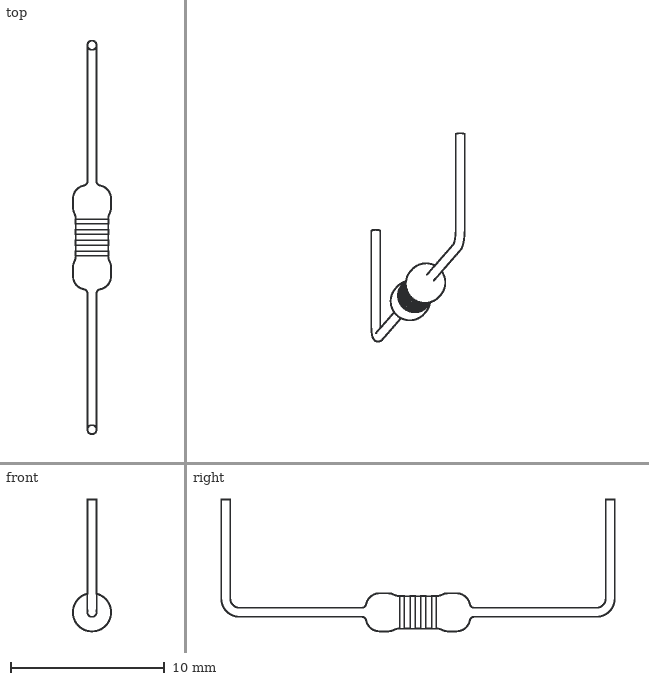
import cadquery as cq
import math

wire_diameter = 0.6
lead_pitch = 25.0
bend_radius = 0.9
overall_height = 8.6

cap_diameter = 2.5
waist_diameter = 2.12
band_diameter = 2.15
cap_inner_y = 1.95
cap_outer_y = 2.5
body_end_y = 3.65
dome_radius = 0.9

band_count = 4
band_width = 0.3
band_gap = 0.39

wire_radius = wire_diameter / 2
cap_radius = cap_diameter / 2
waist_radius = waist_diameter / 2
lead_y = lead_pitch / 2
lead_top_z = overall_height - cap_radius
band_pitch = band_width + band_gap
waist_length = band_count * band_pitch - band_gap
waist_end_y = waist_length / 2


def arc_point(centre, radius, angle):
    """Point at the given angle, measured from the radial (X) axis toward +Y."""
    return (centre[0] + radius * math.cos(angle), centre[1] + radius * math.sin(angle))


def make_cylinder(radius, start_y, length):
    """Cylinder along the Y axis, running from start_y toward +Y."""
    return cq.Workplane("XZ", origin=(0, start_y, 0)).circle(radius).extrude(-length)


def make_cap():
    """End cap on the +Y side: shoulder, cylinder, dome and run-out, revolved about Y."""
    shoulder_length = cap_inner_y - waist_end_y
    shoulder_rise = cap_radius - waist_radius
    shoulder_radius = (shoulder_length**2 + shoulder_rise**2) / (4 * shoulder_rise)
    half_sweep = math.asin(shoulder_length / 2 / shoulder_radius) / 2
    inner_centre = (waist_radius + shoulder_radius, waist_end_y)
    outer_centre = (cap_radius - shoulder_radius, cap_inner_y)
    inner_mid = arc_point(inner_centre, shoulder_radius, math.pi - half_sweep)
    inflection = ((waist_radius + cap_radius) / 2, (waist_end_y + cap_inner_y) / 2)
    outer_mid = arc_point(outer_centre, shoulder_radius, -half_sweep)

    dome_centre = (cap_radius - dome_radius, cap_outer_y)
    run = body_end_y - cap_outer_y
    offset = wire_radius - dome_centre[0]
    fillet_radius = (run**2 + offset**2 - dome_radius**2) / (2 * (dome_radius - offset))
    fillet_centre = (wire_radius + fillet_radius, body_end_y)
    dome_sweep = math.atan2(run, fillet_centre[0] - dome_centre[0])
    dome_mid = arc_point(dome_centre, dome_radius, dome_sweep / 2)
    dome_end = arc_point(dome_centre, dome_radius, dome_sweep)
    fillet_mid = arc_point(fillet_centre, fillet_radius, math.pi + dome_sweep / 2)

    return (
        cq.Workplane("XY")
        .moveTo(0, waist_end_y)
        .lineTo(waist_radius, waist_end_y)
        .threePointArc(inner_mid, inflection)
        .threePointArc(outer_mid, (cap_radius, cap_inner_y))
        .lineTo(cap_radius, cap_outer_y)
        .threePointArc(dome_mid, dome_end)
        .threePointArc(fillet_mid, (wire_radius, body_end_y))
        .lineTo(0, body_end_y)
        .close()
        .revolve(360, (0, 0, 0), (0, 1, 0))
    )


def make_wire():
    """Continuous lead wire: through the body and bent up at both ends."""
    bend_y = lead_y - bend_radius
    bend_mid_y = bend_y + bend_radius * math.sin(math.pi / 4)
    bend_mid_z = bend_radius * (1 - math.cos(math.pi / 4))
    path = (
        cq.Workplane("YZ")
        .moveTo(-lead_y, lead_top_z)
        .lineTo(-lead_y, bend_radius)
        .threePointArc((-bend_mid_y, bend_mid_z), (-bend_y, 0))
        .lineTo(bend_y, 0)
        .threePointArc((bend_mid_y, bend_mid_z), (lead_y, bend_radius))
        .lineTo(lead_y, lead_top_z)
    )
    profile = cq.Workplane("XY", origin=(0, -lead_y, lead_top_z)).circle(wire_radius)
    return profile.sweep(path)


cap = make_cap()
result = make_cylinder(waist_radius, -waist_end_y, waist_length)
result = result.union(cap).union(cap.mirror("XZ"))
for band_index in range(band_count):
    band_start_y = -waist_end_y + band_index * band_pitch
    result = result.union(make_cylinder(band_diameter / 2, band_start_y, band_width))
result = result.union(make_wire())